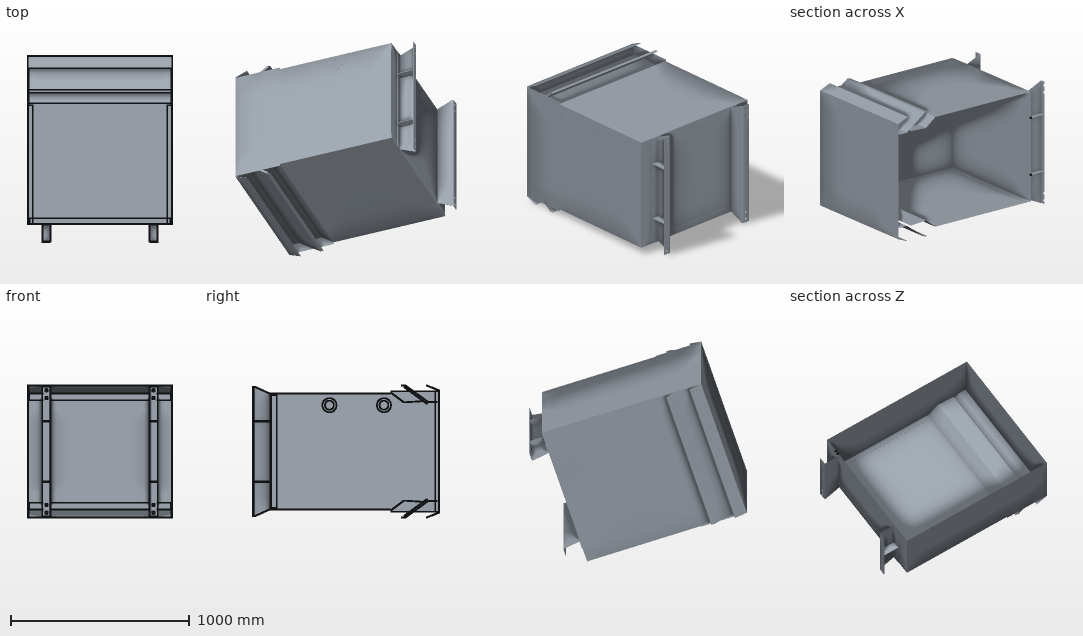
import cadquery as cq
import math

SHEET = 1.6
BRACKET_SHEET = 3.0

WIDTH = 809.0
HEIGHT = 740.0
CASING_TOP = 327.0
CASING_FRONT = -421.0
CASING_REAR = 521.0

COVER_LIP_BOTTOM = 287.0
COVER_LIP_HALF = 397.0
COVER_BEND_Y = 256.0
FLOOR_FRONT = (324.0, 276.0)
FLOOR_REAR = (428.0, 282.0)

EAR_FRONT = 252.0
EAR_TOP = 338.0
SIDE_FLANGE = 27.0
SIDE_FLANGE_REAR = 245.0
KNOCKOUT_YS = (212.0, -93.0)
KNOCKOUT_Z = 259.0
KNOCKOUT_INNER_RADIUS = 25.0
KNOCKOUT_OUTER_RADIUS = 40.0
KNOCKOUT_DEPTH = 0.5

FRONT_FLANGE = 30.0
CORNER_RELIEF = 9.0
REAR_FLANGE = 22.0
REAR_BEND_Z = 343.0
REAR_LIP_Y = 452.0

FOOT_REAR = 508.0
FOOT_FRONT = 459.0
FOOT_TOP = 278.0
CREST_REAR = 332.0
CREST_FRONT = 313.0
DEFLECTOR_FLANGE = 12.0

BRACKET_FRONT = -521.0
BRACKET_INNER_X = 276.0
BRACKET_WIDTH = 47.0
BRACKET_BEND_RADIUS = 7.0
BRACKET_HALF_HEIGHT = 363.0
BRACKET_WALL_HALF_HEIGHT = 326.0
BRACKET_SLOPE_INSET = 8.0
BRACKET_HOLE_DIAMETER = 15.0
BRACKET_HOLE_ZS = (300.0, 343.0)
GUSSET_TOP = 171.0

HALF_WIDTH = WIDTH / 2
LIP_TOP = HEIGHT / 2
SIDE_INNER = HALF_WIDTH - SHEET
COVER_UNDERSIDE = CASING_TOP - SHEET
PANEL_TOP = COVER_UNDERSIDE - SHEET
PANEL_FRONT = CASING_FRONT + SHEET
REAR_INNER = CASING_REAR - SHEET
FITTED_HALF = SIDE_INNER - SHEET


def box(x_range, y_range, z_range):
    """Block spanning the three given (low, high) ranges."""
    ranges = (x_range, y_range, z_range)
    size = [high - low for low, high in ranges]
    corner = cq.Vector(*[low for low, high in ranges])
    return cq.Workplane(cq.Solid.makeBox(*size, corner))


def unit(start, end):
    """Unit (y, z) direction from start to end."""
    length = math.hypot(end[0] - start[0], end[1] - start[1])
    return ((end[0] - start[0]) / length, (end[1] - start[1]) / length)


def offset_left(path, distance):
    """Open (y, z) path moved to its left by distance, with mitred corners."""
    directions = [unit(a, b) for a, b in zip(path, path[1:])]
    before = [directions[0]] + directions
    after = directions + [directions[-1]]
    moved = []
    for (y, z), (y1, z1), (y2, z2) in zip(path, before, after):
        mitre = distance / (1 + y1 * y2 + z1 * z2)
        moved.append((y - (z1 + z2) * mitre, z + (y1 + y2) * mitre))
    return moved


def extrude_across(outline, half_width):
    """Closed (y, z) outline extruded symmetrically along X."""
    return cq.Workplane("YZ").polyline(outline).close().extrude(half_width, both=True)


def folded_sheet(path, half_width):
    """Sheet whose outer face follows path and whose thickness lies to its left."""
    return extrude_across(path + offset_left(path, SHEET)[::-1], half_width)


def make_side_plate():
    """Left side plate with inward flanges and raised ears behind the covers."""
    outline = [
        (PANEL_FRONT, -COVER_UNDERSIDE),
        (EAR_FRONT, -COVER_UNDERSIDE),
        (EAR_FRONT, -EAR_TOP),
        (REAR_INNER, -EAR_TOP),
        (REAR_INNER, EAR_TOP),
        (EAR_FRONT, EAR_TOP),
        (EAR_FRONT, COVER_UNDERSIDE),
        (PANEL_FRONT, COVER_UNDERSIDE),
    ]
    plate = cq.Workplane("YZ", origin=(-HALF_WIDTH, 0, 0)).polyline(outline).close().extrude(SHEET)
    flange_x = (-HALF_WIDTH, SIDE_FLANGE - HALF_WIDTH)
    flange_y = (PANEL_FRONT, SIDE_FLANGE_REAR)
    plate = plate.union(box(flange_x, flange_y, (PANEL_TOP, COVER_UNDERSIDE)))
    plate = plate.union(box(flange_x, flange_y, (-COVER_UNDERSIDE, -PANEL_TOP)))
    knockout_rings = (
        cq.Workplane("YZ", origin=(-HALF_WIDTH, 0, 0))
        .pushPoints([(y, KNOCKOUT_Z) for y in KNOCKOUT_YS])
        .circle(KNOCKOUT_OUTER_RADIUS)
        .circle(KNOCKOUT_INNER_RADIUS)
        .extrude(KNOCKOUT_DEPTH)
    )
    return plate.cut(knockout_rings)


def make_cover():
    """Top cover: front lip, flat top, then a slope down to a rear floor."""
    path = [
        FLOOR_REAR,
        FLOOR_FRONT,
        (COVER_BEND_Y, CASING_TOP),
        (CASING_FRONT, CASING_TOP),
        (CASING_FRONT, COVER_LIP_BOTTOM),
    ]
    cover = folded_sheet(path, HALF_WIDTH)
    for side in (-1, 1):
        lip_ends = sorted((side * COVER_LIP_HALF, side * HALF_WIDTH))
        rear_ends = sorted((side * FITTED_HALF, side * HALF_WIDTH))
        cover = cover.cut(box(lip_ends, (CASING_FRONT, PANEL_FRONT), (0, COVER_UNDERSIDE)))
        cover = cover.cut(box(rear_ends, (EAR_FRONT, CASING_REAR), (0, CASING_TOP)))
    return cover


def make_front_panel():
    """Front panel: a shallow tray with four flanges turned back."""
    flange_y = (PANEL_FRONT, PANEL_FRONT + FRONT_FLANGE)
    panel = box(
        (-SIDE_INNER, SIDE_INNER), (PANEL_FRONT, PANEL_FRONT + SHEET), (-PANEL_TOP, PANEL_TOP)
    )
    long_half = SIDE_INNER - CORNER_RELIEF
    tall_half = PANEL_TOP - CORNER_RELIEF
    for side in (-1, 1):
        flange_z = sorted((side * PANEL_TOP, side * (PANEL_TOP - SHEET)))
        flange_x = sorted((side * SIDE_INNER, side * (SIDE_INNER - SHEET)))
        panel = panel.union(box((-long_half, long_half), flange_y, flange_z))
        panel = panel.union(box(flange_x, flange_y, (-tall_half, tall_half)))
    return panel


def make_rear_panel():
    """Rear panel with inclined lips above and below and flanges inside the side plates."""
    path = [
        (REAR_LIP_Y, -LIP_TOP),
        (CASING_REAR, -REAR_BEND_Z),
        (CASING_REAR, REAR_BEND_Z),
        (REAR_LIP_Y, LIP_TOP),
    ]
    panel = folded_sheet(path, HALF_WIDTH)
    for side in (-1, 1):
        flange_x = sorted((side * SIDE_INNER, side * (SIDE_INNER - SHEET)))
        flange_y = (CASING_REAR - REAR_FLANGE, CASING_REAR)
        panel = panel.union(box(flange_x, flange_y, (-EAR_TOP, EAR_TOP)))
    return panel


def make_deflector():
    """Upper air deflector: flat foot, inclined blade with end flanges, and a crest lip."""
    bend = (FOOT_FRONT, FOOT_TOP)
    crest = (CREST_REAR, LIP_TOP)
    path = [(FOOT_REAR, FOOT_TOP), bend, crest, (CREST_FRONT, LIP_TOP)]
    deflector = folded_sheet(path, FITTED_HALF)
    blade = [bend, crest]
    flange_outline = blade + offset_left(blade, DEFLECTOR_FLANGE)[::-1]
    end_flanges = extrude_across(flange_outline, FITTED_HALF).cut(
        extrude_across(flange_outline, FITTED_HALF - SHEET)
    )
    return deflector.union(end_flanges)


def make_bracket():
    """Left mounting bracket: a channel with a taller front flange and two gussets."""
    x_range = (-BRACKET_INNER_X - BRACKET_WIDTH, -BRACKET_INNER_X)
    inside_x = (x_range[0], x_range[1] - BRACKET_SHEET)
    inside_y = (BRACKET_FRONT + BRACKET_SHEET, CASING_FRONT - BRACKET_SHEET)
    heights = (-BRACKET_HALF_HEIGHT, BRACKET_HALF_HEIGHT)
    channel = box(x_range, (BRACKET_FRONT, CASING_FRONT), heights).edges("|Z and >X")
    channel = channel.fillet(BRACKET_BEND_RADIUS)
    hollow = box(inside_x, inside_y, heights).edges("|Z and >X")
    hollow = hollow.fillet(BRACKET_BEND_RADIUS - BRACKET_SHEET)

    slope_front = BRACKET_FRONT + BRACKET_SLOPE_INSET
    slope_rear = CASING_FRONT - BRACKET_SLOPE_INSET
    side_outline = [
        (BRACKET_FRONT, -BRACKET_HALF_HEIGHT),
        (slope_front, -BRACKET_HALF_HEIGHT),
        (slope_rear, -BRACKET_WALL_HALF_HEIGHT),
        (CASING_FRONT, -BRACKET_WALL_HALF_HEIGHT),
        (CASING_FRONT, BRACKET_WALL_HALF_HEIGHT),
        (slope_rear, BRACKET_WALL_HALF_HEIGHT),
        (slope_front, BRACKET_HALF_HEIGHT),
        (BRACKET_FRONT, BRACKET_HALF_HEIGHT),
    ]
    bracket = channel.cut(hollow).intersect(extrude_across(side_outline, HALF_WIDTH))

    for gusset_top in (GUSSET_TOP, BRACKET_SHEET - GUSSET_TOP):
        gusset_z = (gusset_top - BRACKET_SHEET, gusset_top)
        bracket = bracket.union(hollow.intersect(box(x_range, inside_y, gusset_z)))

    hole_x = -BRACKET_INNER_X - BRACKET_WIDTH / 2
    hole_points = [(hole_x, side * z) for side in (-1, 1) for z in BRACKET_HOLE_ZS]
    holes = (
        cq.Workplane("XZ", origin=(0, BRACKET_FRONT, 0))
        .pushPoints(hole_points)
        .circle(BRACKET_HOLE_DIAMETER / 2)
        .extrude(-BRACKET_SHEET)
    )
    return bracket.cut(holes)


def mirrored_pair(body, plane):
    """The body and its mirror image as two separate solids."""
    return [body.val(), body.mirror(plane).val()]


side_plates = mirrored_pair(make_side_plate(), "YZ")
covers = mirrored_pair(make_cover(), "XY")
front_panel = make_front_panel()
rear_panel = make_rear_panel()
deflectors = mirrored_pair(make_deflector(), "XY")
brackets = mirrored_pair(make_bracket(), "YZ")

result = cq.Compound.makeCompound(
    [*side_plates, *covers, front_panel.val(), rear_panel.val(), *deflectors, *brackets]
)